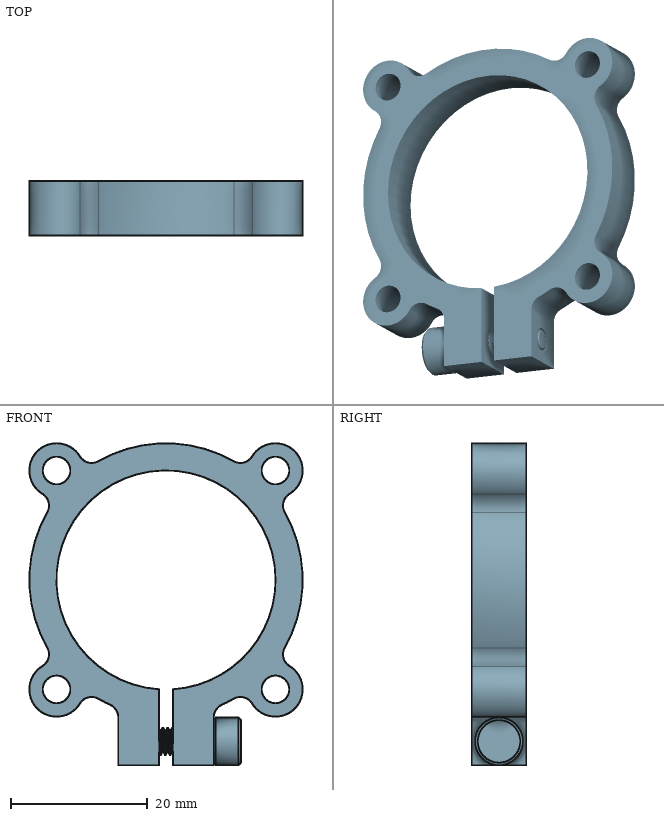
import cadquery as cq
import math

bore_radius = 16.0
ring_wall = 4.0
ring_radius = bore_radius + ring_wall
thickness = 8.0
fillet_radius = 2.0

ear_offset = 16.0
ear_radius = 4.0
ear_hole_radius = 2.0

lug_half_width = 7.0
slit_width = 2.0

head_radius = 3.5
head_height = 4.0
head_chamfer = 0.4
head_seat_chamfer = 0.3
screw_z = -23.6
tip_radius = 1.27
tip_x = -lug_half_width

thread_radius = 2.0
thread_pitch = 0.7
thread_phase = 0.25
thread_depth = 0.43
root_radius = thread_radius - thread_depth
root_width = thread_pitch / 4
crest_width = thread_pitch / 8
thread_end_x = slit_width / 2 + thread_pitch

groove_overshoot = 0.05
groove_outer_radius = thread_radius + groove_overshoot
flank_slope = (thread_pitch - crest_width - root_width) / thread_depth
groove_outer_width = root_width + flank_slope * (thread_depth + groove_overshoot)
rod_start_x = tip_x - thread_pitch

lug_bottom_z = screw_z - head_radius

position_tolerance = 1e-3


def cylinder_y(radius, x=0.0, z=0.0):
    """Cylinder along Y across the full clamp thickness."""
    return (
        cq.Workplane("XZ", origin=(0, thickness / 2, 0))
        .center(x, z)
        .circle(radius)
        .extrude(thickness)
    )


def cylinder_x(radius, start_x, end_x):
    """Cylinder along X on the screw axis."""
    return (
        cq.Workplane("YZ", origin=(start_x, 0, screw_z))
        .circle(radius)
        .extrude(end_x - start_x)
    )


def block_below_axis(width):
    """Full-thickness block centred on X, from the bore axis down to the lug's bottom."""
    return cq.Workplane("XY", origin=(0, 0, lug_bottom_z)).box(
        width, thickness, -lug_bottom_z, centered=(True, True, False)
    )


def meets_ring(edge):
    """True for a corner edge where an ear or the lug leaves the ring's outside."""
    center = edge.Center()
    on_ring = abs(math.hypot(center.x, center.z) - ring_radius) < position_tolerance
    is_seam = abs(center.z) < position_tolerance
    return on_ring and not is_seam


def make_clamp():
    ear = cylinder_y(ear_radius, ear_offset, ear_offset)
    ear_hole = cylinder_y(ear_hole_radius, ear_offset, ear_offset)
    ear_angles = (0, 90, 180, 270)

    body = cylinder_y(ring_radius)
    for angle in ear_angles:
        body = body.union(ear.rotate((0, 0, 0), (0, 1, 0), angle))
    body = body.union(block_below_axis(2 * lug_half_width))
    corners = body.edges("|Y").filter(meets_ring)
    body = corners.fillet(fillet_radius)

    body = body.cut(cylinder_y(bore_radius))
    for angle in ear_angles:
        body = body.cut(ear_hole.rotate((0, 0, 0), (0, 1, 0), angle))
    return body.cut(block_below_axis(slit_width))


def make_thread_groove():
    """Helical V groove, started beyond the rod so that it runs out through the rod's end."""
    start_x = rod_start_x - thread_pitch + thread_phase
    helix = cq.Wire.makeHelix(thread_pitch, thread_end_x - start_x, root_radius)
    groove = (
        cq.Workplane("XZ")
        .polyline(
            [
                (root_radius, -root_width / 2),
                (groove_outer_radius, -groove_outer_width / 2),
                (groove_outer_radius, groove_outer_width / 2),
                (root_radius, root_width / 2),
            ]
        )
        .close()
        .sweep(cq.Workplane(obj=helix), isFrenet=True)
    )
    return groove.rotate((0, 0, 0), (0, 1, 0), 90).translate((start_x, 0, screw_z))


def make_threaded_rod():
    """Shank before its tip is trimmed, standing out past the lug on the -X side."""
    rod = cylinder_x(thread_radius, rod_start_x, lug_half_width)
    return rod.cut(make_thread_groove())


def make_screw(threaded_rod):
    tip_blank = cylinder_x(groove_outer_radius, tip_x, lug_half_width)
    tip_blank = tip_blank.faces("<X").chamfer(groove_outer_radius - tip_radius)
    shank = threaded_rod.intersect(tip_blank)

    head = cylinder_x(head_radius, lug_half_width, lug_half_width + head_height)
    head = head.faces(">X").edges().chamfer(head_chamfer)
    head = head.faces("<X").edges().chamfer(head_seat_chamfer)
    return shank.union(head)


def cut_screw_holes(clamp, threaded_rod):
    """Tapped hole in the -X half of the lug, clearance hole in the half under the head."""
    clamp = clamp.cut(threaded_rod)
    return clamp.cut(cylinder_x(thread_radius, 0, lug_half_width))


threaded_rod = make_threaded_rod()
screw = make_screw(threaded_rod)
clamp = cut_screw_holes(make_clamp(), threaded_rod)

result = cq.Compound.makeCompound([clamp.solids().val(), screw.solids().val()])